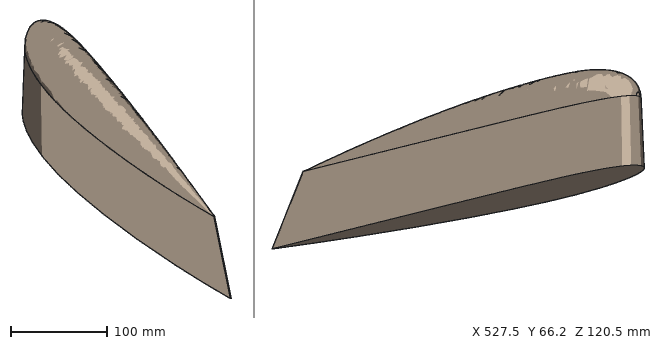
import cadquery as cq
import math

base_chord = 527.5
max_thickness = 65.5
max_camber = 15.5
camber_place = 0.42
tail_offset = 10.5

wall_height = 75.5
nose_sweep = 4.0
wall_top_chord = 479.5

crest_height = 45.0
crest_place = 0.28
nose_fullness = 2.6
tail_fullness = 1.8
tip_height = 0.5

foil_steps = 24
cap_stations = 18
arch_steps = 8
cap_inset = 0.1
end_gap = 0.001


def half_thickness(t):
    """Half thickness at fraction t, for a unit chord."""
    shape = 0.2969 * math.sqrt(t) - 0.126 * t - 0.3516 * t**2 + 0.2843 * t**3 - 0.1015 * t**4
    return 5 * max_thickness / base_chord * shape


def mean_line(t):
    """Y of the foil's mean line at fraction t, for a unit chord."""
    peak = max_camber / base_chord
    if t < camber_place:
        camber = peak / camber_place**2 * (2 * camber_place * t - t**2)
    else:
        aft = 1 - 2 * camber_place + 2 * camber_place * t - t**2
        camber = peak / (1 - camber_place) ** 2 * aft
    return tail_offset / base_chord * t - camber


def foil_side(scale, nose_x, z, side):
    """Points from nose to tail, bunched at the nose; side is +1 or -1."""
    points = []
    for i in range(foil_steps + 1):
        t = (1 - math.cos(math.pi * i / foil_steps)) / 2
        y = mean_line(t) + side * half_thickness(t)
        points.append(cq.Vector(nose_x + scale * t, scale * y, z))
    return points


def foil_wire(scale, nose_x, z):
    """Closed foil outline at height z."""
    left = foil_side(scale, nose_x, z, 1)
    right = foil_side(scale, nose_x, z, -1)
    left_edge = cq.Edge.makeSpline(left)
    right_edge = cq.Edge.makeSpline(right)
    tail_edge = cq.Edge.makeLine(left[-1], right[-1])
    return cq.Wire.assembleEdges([left_edge, tail_edge, right_edge])


def cap_height(t):
    """Height of the cap's crest line at fraction t of the wall's top chord."""
    if t < crest_place:
        rise = 1 - (1 - t / crest_place) ** nose_fullness
        height = crest_height * math.sqrt(rise)
    else:
        fall = ((t - crest_place) / (1 - crest_place)) ** tail_fullness
        height = crest_height * (1 - fall)
    return max(height, tip_height)


def cap_section(t):
    """Half ellipse standing on the top of the wall, across the foil."""
    x = nose_sweep + wall_top_chord * t
    middle = wall_top_chord * mean_line(t)
    half_width = wall_top_chord * half_thickness(t) - cap_inset
    arch = []
    for k in range(arch_steps + 1):
        angle = math.pi * k / arch_steps
        arch.append((half_width * math.cos(angle), cap_height(t) * math.sin(angle)))
    section = cq.Workplane("YZ", origin=(x, middle, wall_height))
    return section.spline(arch, tangents=[(0, 1), (0, -1)]).close().val()


wall = cq.Solid.makeLoft([
    foil_wire(base_chord, 0, 0),
    foil_wire(wall_top_chord, nose_sweep, wall_height),
], True)

stations = []
for i in range(cap_stations + 1):
    bunched = (1 - math.cos(math.pi * i / cap_stations)) / 2
    stations.append(end_gap + (1 - 2 * end_gap) * bunched)
cap = cq.Solid.makeLoft([cap_section(t) for t in stations])

result = cq.Workplane(wall.fuse(cap).Solids()[0])